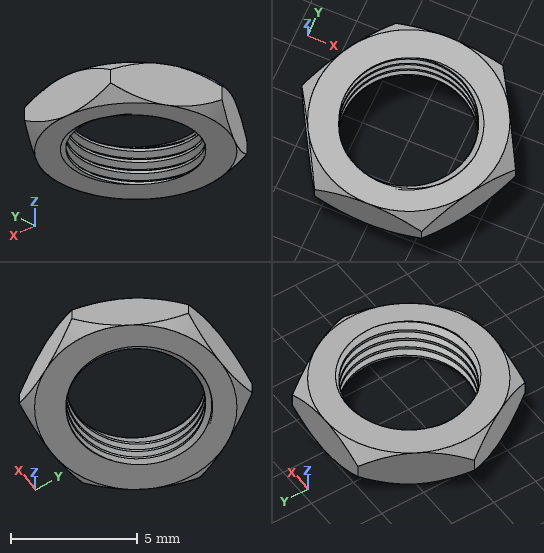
import cadquery as cq
import math

across_corners = 9.24
across_flats = across_corners * math.cos(math.radians(30))
height = 1.84
chamfer = (across_corners - across_flats) / 2

minor_radius = 5.53 / 2
major_radius = 6.09 / 2
pitch = 0.5
crest_width = pitch / 4
flank_slope = math.tan(math.radians(30))
cutter_overlap = 0.06
groove_angle_at_top = -25.0


def hexagonal_body():
    blank = cq.Workplane("XY").polygon(6, across_corners).extrude(height)
    flat_radius = across_flats / 2
    corner_radius = across_corners / 2
    envelope = (
        cq.Workplane("XZ")
        .moveTo(0, 0)
        .lineTo(flat_radius, 0)
        .lineTo(corner_radius, chamfer)
        .lineTo(corner_radius, height - chamfer)
        .lineTo(flat_radius, height)
        .lineTo(0, height)
        .close()
        .revolve(360, (0, 0, 0), (0, 1, 0))
    )
    return blank.intersect(envelope)


def thread_groove():
    """Helical trapezoid running one pitch past both faces."""
    start_z = -pitch
    length = height + 2 * pitch
    inner_radius = minor_radius - cutter_overlap
    half_mouth = (pitch - crest_width) / 2 + cutter_overlap * flank_slope
    half_root = half_mouth - (major_radius - inner_radius) * flank_slope
    helix = cq.Wire.makeHelix(pitch, length, minor_radius)
    groove = (
        cq.Workplane("XZ")
        .moveTo(inner_radius, -half_mouth)
        .lineTo(major_radius, -half_root)
        .lineTo(major_radius, half_root)
        .lineTo(inner_radius, half_mouth)
        .close()
        .sweep(cq.Workplane(helix), isFrenet=True)
    )
    angle_reached_at_top = 360 * (height - start_z) / pitch
    turn = groove_angle_at_top - angle_reached_at_top
    return groove.rotate((0, 0, 0), (0, 0, 1), turn).translate((0, 0, start_z))


bore = cq.Workplane("XY").circle(minor_radius).extrude(height)
result = hexagonal_body().cut(thread_groove()).cut(bore)